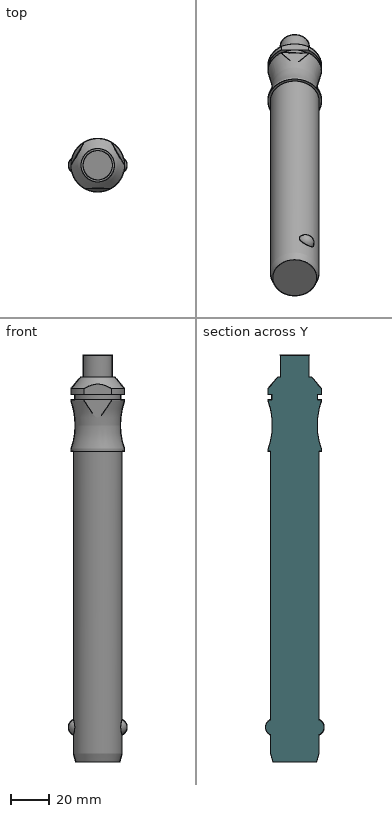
import cadquery as cq

total_length = 212.0
body_radius = 12.7
head_radius = 14.0

lead_in_height = 4.5
tip_radius = 11.5

collar_bottom = 162.0
collar_height = 27.0
collar_top = collar_bottom + collar_height
lower_rim_height = 1.3
upper_rim_height = 0.6
waist_radius = 11.9
waist_height = 13.4
waist_z = collar_bottom + waist_height

groove_radius = 12.0
groove_height = 2.5
cap_bottom = collar_top + groove_height
cap_rim_height = 3.2
cone_height = 4.7
cone_top_radius = 10.2
shoulder_height = 1.5
shoulder_top_radius = 8.7
cap_rim_top = cap_bottom + cap_rim_height
cone_top = cap_rim_top + cone_height
shoulder_top = cone_top + shoulder_height

button_radius = 7.6

flat_distance = 12.0
flat_angles = (30, 150, 270)

ball_radius = 4.5
ball_z = 18.2
ball_reach = 15.37


def make_pin():
    """Revolve the pin body, waisted collar, cap and button about Z."""
    waist_start = (head_radius, collar_bottom + lower_rim_height)
    waist_end = (head_radius, collar_top - upper_rim_height)
    waist_depth = head_radius - waist_radius
    lower_arc_height = waist_height - lower_rim_height
    lower_arc_radius = (lower_arc_height**2 + waist_depth**2) / (2 * waist_depth)
    return (
        cq.Workplane("XZ")
        .moveTo(0, 0)
        .lineTo(tip_radius, 0)
        .lineTo(body_radius, lead_in_height)
        .lineTo(body_radius, collar_bottom)
        .lineTo(head_radius, collar_bottom)
        .lineTo(*waist_start)
        .radiusArc((waist_radius, waist_z), lower_arc_radius)
        .tangentArcPoint(waist_end, relative=False)
        .lineTo(head_radius, collar_top)
        .lineTo(groove_radius, collar_top)
        .lineTo(groove_radius, cap_bottom)
        .lineTo(head_radius, cap_bottom)
        .lineTo(head_radius, cap_rim_top)
        .lineTo(cone_top_radius, cone_top)
        .lineTo(shoulder_top_radius, shoulder_top)
        .lineTo(button_radius, shoulder_top)
        .lineTo(button_radius, total_length)
        .lineTo(0, total_length)
        .close()
        .revolve(360, (0, 0), (0, 1))
    )


def make_flat_cutter(angle):
    """Block that trims one flat on the upper collar and cap."""
    return (
        cq.Workplane("XY")
        .workplane(offset=waist_z)
        .center(flat_distance + head_radius, 0)
        .rect(2 * head_radius, 4 * head_radius)
        .extrude(total_length - waist_z)
        .rotate((0, 0, 0), (0, 0, 1), angle)
    )


def make_ball(side):
    """Locking ball protruding from the -X (side -1) or +X (side 1) face."""
    ball_x = side * (ball_reach - ball_radius)
    return cq.Workplane("XY").sphere(ball_radius).translate((ball_x, 0, ball_z))


result = make_pin()
for flat_angle in flat_angles:
    result = result.cut(make_flat_cutter(flat_angle))
for ball_side in (-1, 1):
    result = result.union(make_ball(ball_side))